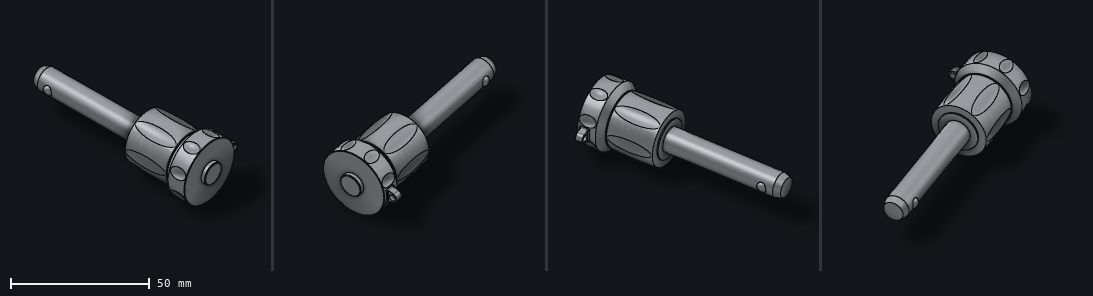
import cadquery as cq
import math


SHANK_RADIUS = 5.0
TIP_RADIUS = 4.0
TIP_CHAMFER_LENGTH = 2.8

BALL_RADIUS = 2.4
BALL_X = 7.6
BALL_REACH = 6.0

COLLAR_START = 49.7
GRIP_START = 50.2
GRIP_END = 69.9
CAP_START = 70.3
RIM_START = 72.9
RIM_END = 80.8
OVERALL_LENGTH = 82.7

COLLAR_RADIUS = 8.1
GRIP_END_RADIUS = 11.25
GRIP_MIDDLE_RADIUS = 11.6
NECK_RADIUS = 11.0
CAP_CONE_RADIUS = 11.2
RIM_RADIUS = 13.8
RIM_EDGE_CHAMFER = 0.2
BUTTON_RADIUS = 4.6
BUTTON_CHAMFER = 0.3

FLUTE_COUNT = 6
FLUTE_START_ANGLE = 0.0
FLUTE_LENGTH = 18.7
FLUTE_WIDTH = 5.7
FLUTE_FLOOR_RADIUS = 10.6
FLUTE_X = (GRIP_START + GRIP_END) / 2

SCALLOP_COUNT = 8
SCALLOP_START_ANGLE = 180.0 / SCALLOP_COUNT
SCALLOP_LENGTH = 7.2
SCALLOP_WIDTH = 4.6
SCALLOP_FLOOR_RADIUS = 13.0
SCALLOP_X = (RIM_START + RIM_END) / 2

CUTTER_OVERRUN = 1.05

LUG_X = 77.4
LUG_THICKNESS = 3.0
EYE_RADIUS = 2.0
EYE_HOLE_RADIUS = 1.35
LUG_TIP_Y = 17.99
EYE_Y = LUG_TIP_Y - EYE_RADIUS
PAD_LENGTH = 4.0
PAD_WIDTH = 5.2
PAD_TOP_Y = 14.2
LUG_ROOT_Y = 12.0


def turned_body():
    """Shank, collar, barrel-shaped grip, cap and button as one revolved profile."""
    return (
        cq.Workplane("XY")
        .moveTo(0, 0)
        .lineTo(0, TIP_RADIUS)
        .lineTo(TIP_CHAMFER_LENGTH, SHANK_RADIUS)
        .lineTo(COLLAR_START, SHANK_RADIUS)
        .lineTo(COLLAR_START, COLLAR_RADIUS)
        .lineTo(GRIP_START, COLLAR_RADIUS)
        .lineTo(GRIP_START, GRIP_END_RADIUS)
        .threePointArc((FLUTE_X, GRIP_MIDDLE_RADIUS), (GRIP_END, GRIP_END_RADIUS))
        .lineTo(GRIP_END, NECK_RADIUS)
        .lineTo(CAP_START, NECK_RADIUS)
        .lineTo(CAP_START, CAP_CONE_RADIUS)
        .lineTo(RIM_START, RIM_RADIUS)
        .lineTo(RIM_END - RIM_EDGE_CHAMFER, RIM_RADIUS)
        .lineTo(RIM_END, RIM_RADIUS - RIM_EDGE_CHAMFER)
        .lineTo(RIM_END, BUTTON_RADIUS)
        .lineTo(OVERALL_LENGTH - BUTTON_CHAMFER, BUTTON_RADIUS)
        .lineTo(OVERALL_LENGTH, BUTTON_RADIUS - BUTTON_CHAMFER)
        .lineTo(OVERALL_LENGTH, 0)
        .close()
        .revolve(360, (0, 0, 0), (1, 0, 0))
    )


def locking_ball(side):
    """Ball that stands out of the shank; side is +1 for +Y and -1 for -Y."""
    ball_y = side * (BALL_REACH - BALL_RADIUS)
    return cq.Workplane("XY").sphere(BALL_RADIUS).translate((BALL_X, ball_y, 0))


def hollow_cutter(middle_x, length, width, floor_radius, middle_radius, end_radius):
    """Spindle on the +Y side that cuts a shallow oval hollow, centred on middle_x.

    The surface being cut has middle_radius at the middle of the hollow and end_radius
    at its two tips.
    """
    half_length = length / 2
    half_width = width / 2
    edge_y = math.sqrt(middle_radius**2 - half_width**2)
    edge_rise = edge_y - floor_radius
    spindle_radius = (half_width**2 + edge_rise**2) / (2 * edge_rise)
    axis_y = floor_radius + spindle_radius
    tip_rise = end_radius - floor_radius
    arc_radius = (half_length**2 + tip_rise**2) / (2 * tip_rise)
    cutter_half_length = half_length * CUTTER_OVERRUN
    cutter_tip_y = floor_radius + arc_radius - math.sqrt(arc_radius**2 - cutter_half_length**2)
    start_x = middle_x - cutter_half_length
    end_x = middle_x + cutter_half_length
    return (
        cq.Workplane("XY")
        .moveTo(start_x, axis_y)
        .lineTo(start_x, cutter_tip_y)
        .threePointArc((middle_x, floor_radius), (end_x, cutter_tip_y))
        .lineTo(end_x, axis_y)
        .close()
        .revolve(360, (start_x, axis_y, 0), (end_x, axis_y, 0))
    )


def cut_around(body, cutter, count, start_angle):
    """Cut evenly spaced copies of the cutter around the X axis."""
    for index in range(count):
        angle = start_angle + index * 360.0 / count
        body = body.cut(cutter.rotate((0, 0, 0), (1, 0, 0), angle))
    return body


def lanyard_lug():
    """Pad on the rim with a tapering tab that ends in a round eye."""
    pad = (
        cq.Workplane("XY")
        .box(PAD_LENGTH, PAD_TOP_Y - LUG_ROOT_Y, PAD_WIDTH)
        .translate((LUG_X, (PAD_TOP_Y + LUG_ROOT_Y) / 2, 0))
    )
    half_width = PAD_WIDTH / 2
    eye_distance = EYE_Y - PAD_TOP_Y
    corner_distance = math.hypot(eye_distance, half_width)
    tangent_angle = (
        math.pi
        - math.atan2(half_width, eye_distance)
        - math.acos(EYE_RADIUS / corner_distance)
    )
    tangent_y = EYE_Y + EYE_RADIUS * math.cos(tangent_angle)
    tangent_z = EYE_RADIUS * math.sin(tangent_angle)
    tab = (
        cq.Workplane("YZ", origin=(LUG_X - LUG_THICKNESS / 2, 0, 0))
        .moveTo(LUG_ROOT_Y, -half_width)
        .lineTo(PAD_TOP_Y, -half_width)
        .lineTo(tangent_y, -tangent_z)
        .threePointArc((EYE_Y + EYE_RADIUS, 0), (tangent_y, tangent_z))
        .lineTo(PAD_TOP_Y, half_width)
        .lineTo(LUG_ROOT_Y, half_width)
        .close()
        .moveTo(EYE_Y, 0)
        .circle(EYE_HOLE_RADIUS)
        .extrude(LUG_THICKNESS)
    )
    return pad.union(tab)


flute_cutter = hollow_cutter(
    FLUTE_X, FLUTE_LENGTH, FLUTE_WIDTH, FLUTE_FLOOR_RADIUS, GRIP_MIDDLE_RADIUS, GRIP_END_RADIUS
)
scallop_cutter = hollow_cutter(
    SCALLOP_X, SCALLOP_LENGTH, SCALLOP_WIDTH, SCALLOP_FLOOR_RADIUS, RIM_RADIUS, RIM_RADIUS
)

pin = turned_body()
pin = cut_around(pin, flute_cutter, FLUTE_COUNT, FLUTE_START_ANGLE)
pin = cut_around(pin, scallop_cutter, SCALLOP_COUNT, SCALLOP_START_ANGLE)
pin = pin.union(locking_ball(1)).union(locking_ball(-1))
result = pin.union(lanyard_lug())